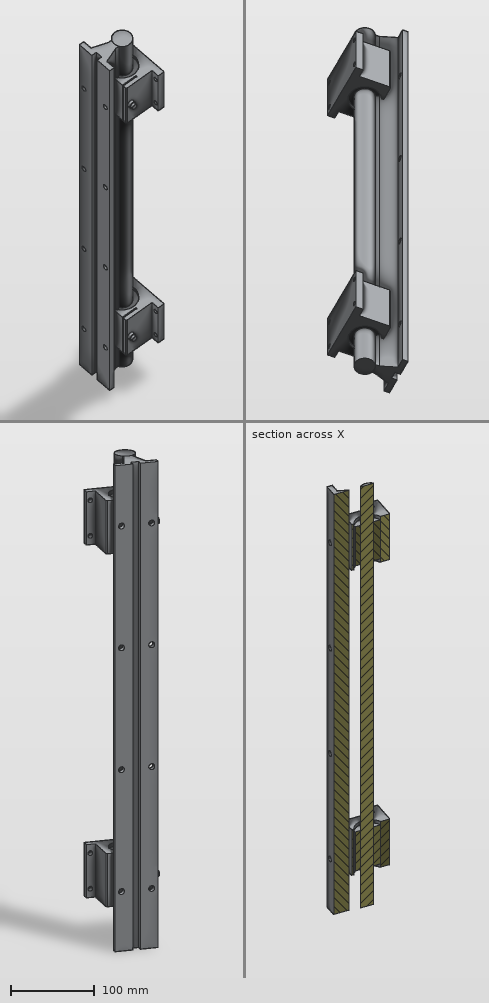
import cadquery as cq
import math

INCH = 25.4

shaft_length = 24 * INCH
shaft_radius = 0.5 * INCH
shaft_height = 1.75 * INCH

rail_end_gap = 1.6
rail_width = 2.125 * INCH
rail_base_thickness = 0.28125 * INCH
rail_neck_width = 0.5 * INCH
rail_neck_bottom = 28.3
rail_foot_width = 28.0
channel_width = 0.375 * INCH
channel_depth = rail_base_thickness

rail_hole_diameter = 0.281 * INCH
rail_hole_spacing = 1.5 * INCH
rail_hole_pitch = 6 * INCH
rail_hole_count = 4
first_rail_hole = rail_hole_pitch / 2

block_length = 2.625 * INCH
block_end_distance = 2 * INCH
block_width = 3.25 * INCH
block_body_width = 2.375 * INCH
block_top = shaft_height + 1.1875 * INCH
block_bottom = block_top - 2 * INCH
flange_thickness = 0.375 * INCH
corner_chamfer = 1.6
flange_hole_diameter = 0.22 * INCH
flange_hole_spacing_x = 2.875 * INCH
flange_hole_spacing_z = 1.75 * INCH
block_opening_width = 18.0

slit_x = 23.9
slit_width = 1.6
slit_top = 46.0
screw_height = 30.5
screw_collar_diameter = 9.5
screw_collar_length = 3.9
screw_tip_diameter = 7.0
screw_tip_length = 3.6

bearing_radius = 1.5625 * INCH / 2
bearing_length = 2.25 * INCH
bearing_opening_half_angle = 30.0

block_centers_z = [
    block_end_distance + block_length / 2,
    shaft_length - block_end_distance - block_length / 2,
]


def make_shaft():
    return cq.Workplane("XY").center(0, shaft_height).circle(shaft_radius).extrude(shaft_length)


def make_rail():
    half_neck = rail_neck_width / 2
    seat_y = shaft_height - math.sqrt(shaft_radius**2 - half_neck**2)
    seat_bottom_y = shaft_height - shaft_radius
    rail = (
        cq.Workplane("XY", origin=(0, 0, rail_end_gap))
        .moveTo(-rail_width / 2, 0)
        .lineTo(-channel_width / 2, 0)
        .lineTo(-channel_width / 2, channel_depth)
        .lineTo(channel_width / 2, channel_depth)
        .lineTo(channel_width / 2, 0)
        .lineTo(rail_width / 2, 0)
        .lineTo(rail_width / 2, rail_base_thickness)
        .lineTo(rail_foot_width / 2, rail_base_thickness)
        .lineTo(half_neck, rail_neck_bottom)
        .lineTo(half_neck, seat_y)
        .threePointArc((0, seat_bottom_y), (-half_neck, seat_y))
        .lineTo(-half_neck, rail_neck_bottom)
        .lineTo(-rail_foot_width / 2, rail_base_thickness)
        .lineTo(-rail_width / 2, rail_base_thickness)
        .close()
        .extrude(shaft_length - rail_end_gap)
    )
    hole_points = [
        (side * rail_hole_spacing / 2, first_rail_hole + i * rail_hole_pitch)
        for side in (-1, 1)
        for i in range(rail_hole_count)
    ]
    holes = (
        cq.Workplane("XZ")
        .pushPoints(hole_points)
        .circle(rail_hole_diameter / 2)
        .extrude(-rail_base_thickness)
    )
    return rail.cut(holes)


def make_block(center_z):
    mid_plane = cq.Workplane("XY", origin=(0, 0, center_z))
    body = (
        mid_plane.center(0, (block_top + block_bottom) / 2)
        .rect(block_body_width, block_top - block_bottom)
        .extrude(block_length / 2, both=True)
        .edges("|Z and <Y")
        .chamfer(corner_chamfer)
    )
    flange = (
        mid_plane.center(0, block_top - flange_thickness / 2)
        .rect(block_width, flange_thickness)
        .extrude(block_length / 2, both=True)
    )
    flange_holes = (
        cq.Workplane("XZ", origin=(0, block_top, center_z))
        .rect(flange_hole_spacing_x, flange_hole_spacing_z, forConstruction=True)
        .vertices()
        .circle(flange_hole_diameter / 2)
        .extrude(flange_thickness)
    )
    bore = (
        mid_plane.center(0, shaft_height)
        .circle(bearing_radius)
        .extrude(block_length / 2, both=True)
    )
    opening = (
        mid_plane.center(0, shaft_height / 2)
        .rect(block_opening_width, shaft_height)
        .extrude(block_length / 2, both=True)
    )
    slit = (
        mid_plane.center(slit_x, slit_top / 2)
        .rect(slit_width, slit_top)
        .extrude(block_length / 2, both=True)
    )
    screw = (
        cq.Workplane("YZ", origin=(block_body_width / 2, screw_height, center_z))
        .circle(screw_collar_diameter / 2)
        .extrude(screw_collar_length)
        .faces(">X")
        .workplane()
        .circle(screw_tip_diameter / 2)
        .extrude(screw_tip_length)
    )
    block = body.union(flange).cut(flange_holes).cut(bore)
    return block.cut(opening).cut(slit).union(screw)


def make_bearing(center_z):
    mid_plane = cq.Workplane("XY", origin=(0, shaft_height, center_z))
    ring = (
        mid_plane.circle(bearing_radius)
        .circle(shaft_radius)
        .extrude(bearing_length / 2, both=True)
    )
    wedge_depth = 2 * bearing_radius
    wedge_half_width = wedge_depth * math.tan(math.radians(bearing_opening_half_angle))
    wedge = (
        mid_plane.polyline([(0, 0), (-wedge_half_width, -wedge_depth), (wedge_half_width, -wedge_depth)])
        .close()
        .extrude(bearing_length / 2, both=True)
    )
    return ring.cut(wedge)


shaft = make_shaft()
rail = make_rail()
blocks = [make_block(z) for z in block_centers_z]
bearings = [make_bearing(z) for z in block_centers_z]

result = cq.Compound.makeCompound(
    [shaft.val(), rail.val()] + [body.val() for body in blocks + bearings]
)